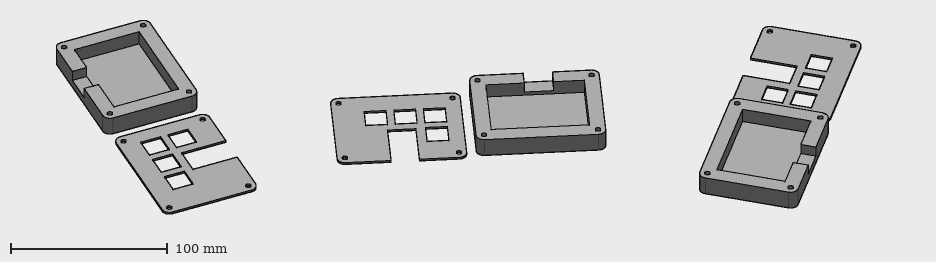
import cadquery as cq

LENGTH = 83.0
WIDTH = 65.0
CORNER_RADIUS = 5.0
SCREW_DIAMETER = 3.5
SCREW_INSET = 5.0

CASE_HEIGHT = 13.0
WALL = 10.0
POCKET_DEPTH = 10.0
NOTCH_LEFT = 29.6
NOTCH_LENGTH = 18.8
NOTCH_DEPTH = 7.4

PLATE_THICKNESS = 1.5
PLATE_X = 89.1
PLATE_Y = 2.4
KEY_SIZE = 14.0
KEY_PITCH = 19.0
FIRST_KEY_X = 17.4
FIRST_KEY_Y = 21.5
KEY_CELLS = [(0, 0), (1, 0), (2, 0), (0, 1)]
SLOT_LEFT = 30.6
SLOT_LENGTH = 18.0
SLOT_BOTTOM = 34.2


def corner_box(x, y, z, length, width, height):
    """Box with its lowest corner at (x, y, z)."""
    return cq.Workplane("XY").box(length, width, height, centered=False).translate((x, y, z))


def drilled_slab(height):
    """Rounded slab with a screw hole through each corner."""
    slab = corner_box(0, 0, 0, LENGTH, WIDTH, height).edges("|Z").fillet(CORNER_RADIUS)
    screw_points = [
        (x, y)
        for x in (SCREW_INSET, LENGTH - SCREW_INSET)
        for y in (SCREW_INSET, WIDTH - SCREW_INSET)
    ]
    holes = cq.Workplane("XY").pushPoints(screw_points).circle(SCREW_DIAMETER / 2).extrude(height)
    return slab.cut(holes)


def make_case():
    """Open-topped case with a cable notch through its front wall."""
    pocket = corner_box(
        WALL, WALL, CASE_HEIGHT - POCKET_DEPTH,
        LENGTH - 2 * WALL, WIDTH - 2 * WALL, POCKET_DEPTH,
    )
    notch = corner_box(NOTCH_LEFT, 0, CASE_HEIGHT - NOTCH_DEPTH, NOTCH_LENGTH, WALL, NOTCH_DEPTH)
    return drilled_slab(CASE_HEIGHT).cut(pocket).cut(notch)


def make_plate():
    """Switch plate with square key openings and a slot open to the back edge."""
    key_points = [
        (FIRST_KEY_X + column * KEY_PITCH, FIRST_KEY_Y + row * KEY_PITCH)
        for column, row in KEY_CELLS
    ]
    keys = cq.Workplane("XY").pushPoints(key_points).rect(KEY_SIZE, KEY_SIZE).extrude(PLATE_THICKNESS)
    slot = corner_box(SLOT_LEFT, SLOT_BOTTOM, 0, SLOT_LENGTH, WIDTH - SLOT_BOTTOM, PLATE_THICKNESS)
    plate = drilled_slab(PLATE_THICKNESS).cut(keys).cut(slot)
    return plate.translate((PLATE_X, PLATE_Y, 0))


case = make_case()
plate = make_plate()
result = cq.Compound.makeCompound([case.val(), plate.val()])